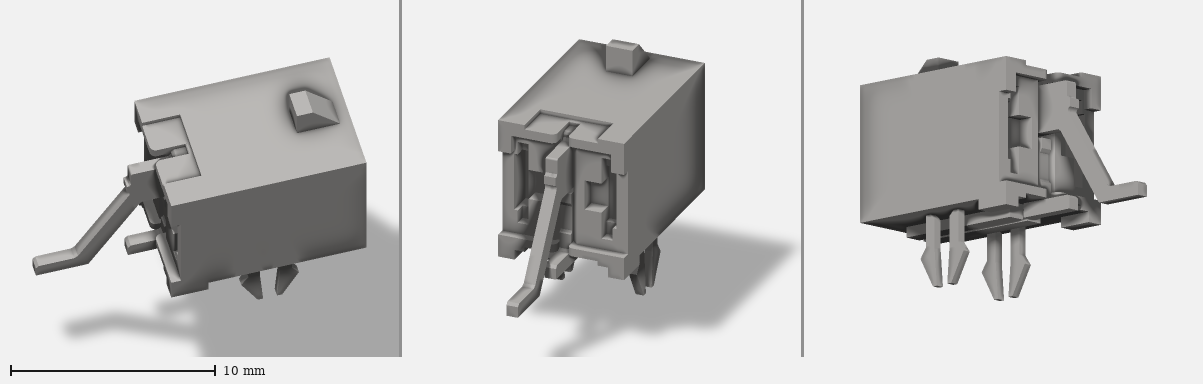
import cadquery as cq
import math


width = 6.7
length = 9.89
top_z = 7.4
underside_z = 0.52
end_recess_depth = 0.5
end_recess_bottom = 1.2
end_recess_shoulder = 5.71
end_recess_top = 6.68
end_recess_half_width = 2.65

foot_length = 1.88
foot_inner_x = 2.48
rail_inner_x = 0.151
rail_outer_x = 1.08
rail_end = 8.94

step_half_width = 1.94
step_length = 1.92
step_depth = 0.24

latch_width = 1.4
latch_front = 7.1
latch_crest = 7.92
latch_height = 1.38

terminal_width = 0.62
slot_end = 1.73
slot_lead_in = 0.3
slot_edge_chamfer = 0.05

clip_inner_x = 1.94
clip_outer_x = 2.37
pocket_mid_z = 3.96
pocket_outer_x = 2.53
pocket_height = 4.37
pocket_back = 1.08
clip_bay_outer_x = 2.72
clip_bay_height = 3.04
clip_front = 1.46
clip_bay_back = 1.91
notch_inner_x = 1.03
notch_back = 1.3
notch_height = 1.57

overall_length = 15.9
tail_bottom = 0.05
tail_top = 0.76
tail_chamfer = 0.15

upper_tail_end = length - overall_length
upper_root_bottom = 4.12
upper_root_top = 6.49
barb_front = 0.86
barb_step = 0.15
nose_y = -1.2
nose_radius = 0.1
lip_y = -1.4
lip_top = 5.58
lip_bottom = 5.14
lip_bevel_run = 0.08
lip_bevel_rise = 0.11
hook_depth = 0.15
hook_height = 0.29
hook_end_inset = 0.11
arm_top_end = (-3.88, 0.87)
arm_heel_y = -3.35
arm_underside_start = (-0.76, 4.0)
root_underside_end = -0.6
tail_top_start = -4.07

lower_tail_end = -1.35
lower_root_top = 3.86
root_front = 0.5
root_waist = root_front + barb_step
head_bottom = 3.34
waist_top = 3.13
waist_bottom = 1.83
shoulder_y = 0.57
shoulder_top = 1.72
shoulder_bottom = 1.67
tail_bevel_run = 0.15
tail_bevel_rise = 0.1

overall_height = 11.86
clip_mid_y = 5.28
clip_bottom = top_z + latch_height - overall_height
leg_outer = 1.1
leg_inner = 0.51
leg_root_inner = 0.78
leg_root_bevel_z = 0.27
leg_taper_start_z = -1.21
leg_tip_inner = 0.35
leg_tip_outer = 0.62
barb_reach = 1.46
barb_top_z = -1.08
barb_tip_z = -1.59


def box(x_range, y_range, z_range):
    """Box between the given limits along each axis."""
    size = [end - start for start, end in (x_range, y_range, z_range)]
    corner = (x_range[0], y_range[0], z_range[0])
    return cq.Workplane("XY").box(*size, centered=False).translate(corner)


def centred_box(half_width, y_range, z_range):
    """Box centred across the part."""
    return box((-half_width, half_width), y_range, z_range)


def mirrored_pair(shape):
    """The shape together with its mirror image across the YZ plane."""
    return shape.union(shape.mirror("YZ"))


def make_housing():
    half_width = width / 2
    end_recess = (0, end_recess_depth)
    body = centred_box(half_width, (0, length), (underside_z, top_z))
    body = body.cut(centred_box(half_width, end_recess, (end_recess_bottom, end_recess_shoulder)))
    body = body.cut(
        centred_box(end_recess_half_width, end_recess, (end_recess_shoulder, end_recess_top))
    )
    for floor_z in (top_z - step_depth, underside_z):
        body = body.cut(
            centred_box(step_half_width, (0, step_length), (floor_z, floor_z + step_depth))
        )
    foot = box((foot_inner_x, half_width), (0, foot_length), (0, underside_z))
    rail = box((rail_inner_x, rail_outer_x), (step_length, rail_end), (0, underside_z))
    return body.union(mirrored_pair(foot)).union(mirrored_pair(rail))


def make_latch():
    return (
        cq.Workplane("YZ")
        .moveTo(latch_front, top_z)
        .lineTo(latch_front, top_z + latch_height)
        .lineTo(latch_crest, top_z + latch_height)
        .lineTo(latch_crest + latch_height, top_z)
        .close()
        .extrude(latch_width / 2, both=True)
    )


def make_terminal_slot():
    """Vertical slot with rounded mouths in the end flanges and a bevelled mouth between them."""
    half_slot = terminal_width / 2
    mouth = half_slot + slot_lead_in
    arc_inset = slot_lead_in * (1 - math.sqrt(0.5))
    rounded = (
        cq.Workplane("XY")
        .moveTo(-mouth, 0)
        .threePointArc((-half_slot - arc_inset, arc_inset), (-half_slot, slot_lead_in))
        .lineTo(-half_slot, slot_end)
        .lineTo(half_slot, slot_end)
        .lineTo(half_slot, slot_lead_in)
        .threePointArc((half_slot + arc_inset, arc_inset), (mouth, 0))
        .close()
        .extrude(top_z)
    )
    bevel_end = end_recess_depth + slot_lead_in
    bevelled = (
        cq.Workplane("XY")
        .workplane(offset=end_recess_bottom)
        .moveTo(-mouth, end_recess_depth)
        .lineTo(-half_slot, bevel_end)
        .lineTo(half_slot, bevel_end)
        .lineTo(mouth, end_recess_depth)
        .close()
        .extrude(end_recess_top - end_recess_bottom)
    )
    step_floor = top_z - step_depth
    edge_bevel = (
        cq.Workplane("YZ")
        .moveTo(slot_end, step_floor - slot_edge_chamfer)
        .lineTo(slot_end + slot_edge_chamfer, step_floor)
        .lineTo(slot_end, step_floor)
        .close()
        .extrude(half_slot, both=True)
    )
    return rounded.union(bevelled).union(edge_bevel)


def make_clip_pocket():
    """Stepped pocket on the +X side, opening at the terminal end."""

    def bay(inner_x, outer_x, back, height):
        z_range = (pocket_mid_z - height / 2, pocket_mid_z + height / 2)
        return box((inner_x, outer_x), (end_recess_depth, back), z_range)

    return (
        bay(clip_inner_x, pocket_outer_x, pocket_back, pocket_height)
        .union(bay(clip_inner_x, clip_outer_x, clip_front, clip_bay_height))
        .union(bay(clip_outer_x, clip_bay_outer_x, clip_bay_back, clip_bay_height))
        .union(bay(notch_inner_x, clip_inner_x, notch_back, notch_height))
    )


def add_tail_end(profile, tail_end):
    """Continue a terminal profile along the tail top, round its bevelled tip to the bottom."""
    return (
        profile.lineTo(tail_end + tail_chamfer, tail_top)
        .lineTo(tail_end, tail_top - tail_chamfer)
        .lineTo(tail_end, tail_bottom)
    )


def make_upper_terminal():
    """Terminal with a stepped root and an arm sloping down to a flat tail."""
    barb_rear = barb_front + barb_step
    barb_top = upper_root_top + 3 * barb_step
    nose_inset = nose_radius * (1 - math.sqrt(0.5))
    profile = (
        cq.Workplane("YZ")
        .moveTo(slot_end, upper_root_bottom)
        .lineTo(slot_end, barb_top)
        .lineTo(barb_rear + barb_step, barb_top)
        .lineTo(barb_rear, barb_top - barb_step)
        .lineTo(barb_rear, upper_root_top + barb_step)
        .lineTo(barb_front, upper_root_top)
        .lineTo(nose_y + nose_radius, upper_root_top)
        .threePointArc(
            (nose_y + nose_inset, upper_root_top - nose_inset),
            (nose_y, upper_root_top - nose_radius),
        )
        .lineTo(nose_y, lip_top + lip_bevel_rise)
        .lineTo(nose_y - lip_bevel_run, lip_top)
        .lineTo(lip_y, lip_top)
        .lineTo(lip_y, lip_bottom)
        .threePointArc(
            (lip_y + hook_depth, lip_bottom - hook_height / 2),
            (lip_y + hook_end_inset, lip_bottom - hook_height),
        )
        .lineTo(*arm_top_end)
        .lineTo(tail_top_start, tail_top)
    )
    return (
        add_tail_end(profile, upper_tail_end)
        .lineTo(arm_heel_y, tail_bottom)
        .lineTo(*arm_underside_start)
        .lineTo(root_underside_end, upper_root_bottom)
        .close()
        .extrude(terminal_width / 2, both=True)
    )


def make_lower_terminal():
    """Terminal with an upright root and a straight tail just above the foot plane."""
    profile = (
        cq.Workplane("YZ")
        .moveTo(slot_end, tail_bottom)
        .lineTo(slot_end, lower_root_top)
        .lineTo(root_front, lower_root_top)
        .lineTo(root_front, head_bottom)
        .lineTo(root_waist, waist_top)
        .lineTo(root_waist, waist_bottom)
        .lineTo(shoulder_y, shoulder_top)
        .lineTo(root_front, shoulder_bottom)
        .lineTo(root_front, tail_top + tail_bevel_rise)
        .lineTo(root_front - tail_bevel_run, tail_top)
    )
    return (
        add_tail_end(profile, lower_tail_end)
        .close()
        .extrude(terminal_width / 2, both=True)
    )


def make_clip_leg(side):
    """One barbed leg of the +X clip; side is +1 or -1 along Y from the clip centre."""
    outline = [
        (leg_outer, underside_z),
        (leg_outer, barb_top_z),
        (barb_reach, barb_tip_z),
        (leg_tip_outer, clip_bottom),
        (leg_tip_inner, clip_bottom),
        (leg_inner, leg_taper_start_z),
        (leg_inner, leg_root_bevel_z),
        (leg_root_inner, underside_z),
    ]
    return (
        cq.Workplane("YZ")
        .workplane(offset=clip_inner_x)
        .polyline([(clip_mid_y + side * offset, z) for offset, z in outline])
        .close()
        .extrude(clip_outer_x - clip_inner_x)
    )


housing = make_housing().union(make_latch())
housing = housing.cut(make_terminal_slot()).cut(mirrored_pair(make_clip_pocket()))

result = housing.union(make_upper_terminal()).union(make_lower_terminal())
for leg_side in (1, -1):
    result = result.union(mirrored_pair(make_clip_leg(leg_side)))